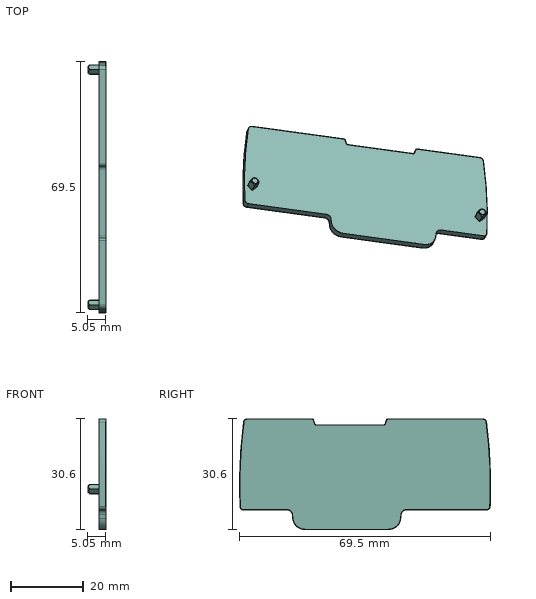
import cadquery as cq
import math

length = 69.5
height = 30.6
thickness = 2.0
end_chamfer = 0.15
half_length = length / 2
shoulder_z = 5.4
side_apex_z = 12.2
side_arc_radius = 134.8
top_corner_radius = 1.05
bottom_corner_radius = 1.05

notch_center_y = -4.2
notch_width = 19.8
notch_depth = 1.7
notch_wall_angle = 18.0
notch_radius = 0.5

tab_center_y = -5.1
tab_width = 29.8
tab_wall_angle = 6.0
tab_corner_radius = 3.4
tab_root_radius = 1.4

peg_length = 3.05
peg_y = 32.5
peg_z = 11.2
peg_diagonal = 2.65
peg_tip_radius = 0.8
peg_tip_length = 0.55


def side_inset(z):
    """Distance the bowed end lies inward at height z."""
    rise = z - side_apex_z
    return side_arc_radius - math.sqrt(side_arc_radius**2 - rise**2)


def side_profile_y(z):
    """Distance of the bowed end from the middle of the length at height z."""
    return half_length - side_inset(z)


def prism(points):
    return cq.Workplane("YZ").polyline(points).close().extrude(thickness)


def round_corners(body, corners, radius):
    """Fillet the edges along X that pass through the given (y, z) corners."""
    for y, z in corners:
        edge = cq.selectors.NearestToPointSelector((thickness / 2, y, z))
        body = body.edges("|X").edges(edge).fillet(radius)
    return body


def make_plate():
    top_y = side_profile_y(height)
    bottom_y = side_profile_y(shoulder_z)
    plate = (
        cq.Workplane("YZ")
        .moveTo(-bottom_y, shoulder_z)
        .lineTo(bottom_y, shoulder_z)
        .threePointArc((half_length, side_apex_z), (top_y, height))
        .lineTo(-top_y, height)
        .threePointArc((-half_length, side_apex_z), (-bottom_y, shoulder_z))
        .close()
        .extrude(thickness)
    )

    notch_slope = notch_depth / 2 * math.tan(math.radians(notch_wall_angle))
    notch_top = [notch_center_y + s * (notch_width / 2 + notch_slope) for s in (-1, 1)]
    notch_floor = [notch_center_y + s * (notch_width / 2 - notch_slope) for s in (-1, 1)]
    floor_z = height - notch_depth
    notch_corners = [
        (notch_top[0], height),
        (notch_floor[0], floor_z),
        (notch_floor[1], floor_z),
        (notch_top[1], height),
    ]

    tab_slope = shoulder_z / 2 * math.tan(math.radians(tab_wall_angle))
    tab_root = [(tab_center_y + s * (tab_width / 2 + tab_slope), shoulder_z) for s in (-1, 1)]
    tab_tip = [(tab_center_y + s * (tab_width / 2 - tab_slope), 0) for s in (-1, 1)]
    tab = prism([tab_root[0], tab_tip[0], tab_tip[1], tab_root[1]])

    plate = plate.cut(prism(notch_corners)).union(tab)
    plate = round_corners(plate, notch_corners, notch_radius)
    plate = round_corners(plate, tab_root, tab_root_radius)
    plate = round_corners(plate, tab_tip, tab_corner_radius)
    for y in (-half_length, half_length):
        end_edge = cq.selectors.NearestToPointSelector((thickness, y, side_apex_z))
        plate = plate.faces(">X").edges(end_edge).chamfer(end_chamfer)
    plate = round_corners(plate, [(-top_y, height), (top_y, height)], top_corner_radius)
    bottom_corners = [(-bottom_y, shoulder_z), (bottom_y, shoulder_z)]
    plate = round_corners(plate, bottom_corners, bottom_corner_radius)
    return plate


def make_peg(y):
    half_diagonal = peg_diagonal / 2
    pin = (
        cq.Workplane("YZ", origin=(-peg_length, y, peg_z))
        .polyline([(half_diagonal, 0), (0, half_diagonal), (-half_diagonal, 0), (0, -half_diagonal)])
        .close()
        .extrude(peg_length)
    )
    envelope = (
        cq.Workplane("XY", origin=(-peg_length, y, peg_z))
        .polyline([
            (0, 0),
            (0, peg_tip_radius),
            (peg_tip_length, half_diagonal),
            (peg_length, half_diagonal),
            (peg_length, 0),
        ])
        .close()
        .revolve(360, (0, 0), (1, 0))
    )
    return pin.intersect(envelope)


result = make_plate()
for side in (-1, 1):
    result = result.union(make_peg(side * peg_y))